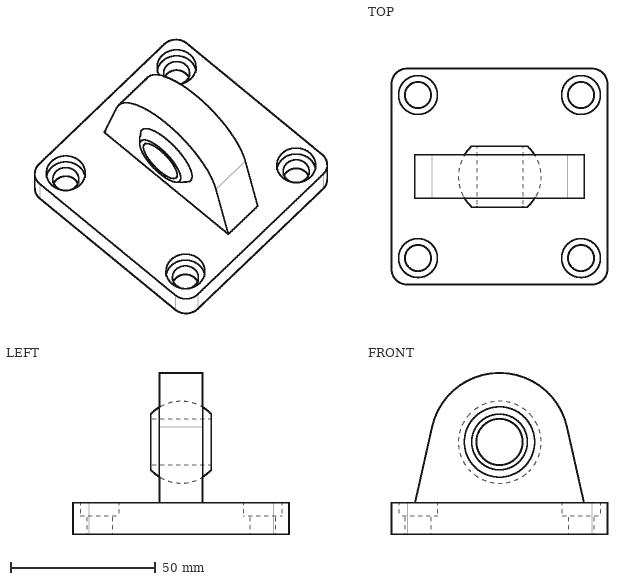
import cadquery as cq
import math

plate_side = 75.0
plate_thickness = 11.0
corner_radius = 5.5

hole_spacing = 56.55
hole_diameter = 9.0
counterbore_diameter = 13.5
counterbore_depth = 4.5

overall_height = 56.0
lug_radius = 24.0
lug_base_width = 58.65
lug_thickness = 15.0
eye_height = overall_height - lug_radius

ball_diameter = 28.65
ball_width = 21.15
bore_diameter = 16.0


def make_plate():
    """Rounded square plate standing on Z = 0, with a counterbored hole near each corner."""
    plate = cq.Workplane("XY").box(plate_side, plate_side, plate_thickness, centered=(True, True, False))
    plate = plate.edges("|Z").fillet(corner_radius)
    return (
        plate.faces(">Z").workplane()
        .rect(hole_spacing, hole_spacing, forConstruction=True).vertices()
        .cboreHole(hole_diameter, counterbore_diameter, counterbore_depth)
    )


def make_lug():
    """Upright lug whose sloping sides run tangent into its round head."""
    half_base = lug_base_width / 2
    drop = eye_height - plate_thickness
    tangent_angle = math.acos(lug_radius / math.hypot(half_base, drop)) - math.atan2(drop, half_base)
    tangent_x = lug_radius * math.cos(tangent_angle)
    tangent_z = eye_height + lug_radius * math.sin(tangent_angle)
    return (
        cq.Workplane("XZ")
        .moveTo(-half_base, plate_thickness)
        .lineTo(half_base, plate_thickness)
        .lineTo(tangent_x, tangent_z)
        .threePointArc((0, overall_height), (-tangent_x, tangent_z))
        .close()
        .extrude(lug_thickness / 2, both=True)
    )


def make_sphere():
    """Full sphere at the eye, used for both the ball and its seat; its poles lie along Y."""
    sphere = cq.Workplane("XY").sphere(ball_diameter / 2)
    return sphere.rotate((0, 0, 0), (1, 0, 0), 90).translate((0, 0, eye_height))


def make_bracket():
    """Plate and lug in one piece, with a spherical seat through the lug."""
    return make_plate().union(make_lug()).cut(make_sphere())


def make_ball():
    """Sphere cut flat at both ends and bored along Y."""
    blank = (
        cq.Workplane("XZ").center(0, eye_height)
        .circle(ball_diameter / 2).circle(bore_diameter / 2)
        .extrude(ball_width / 2, both=True)
    )
    return blank.intersect(make_sphere())


bracket = make_bracket()
ball = make_ball()
result = cq.Compound.makeCompound([bracket.solids().val(), ball.solids().val()])